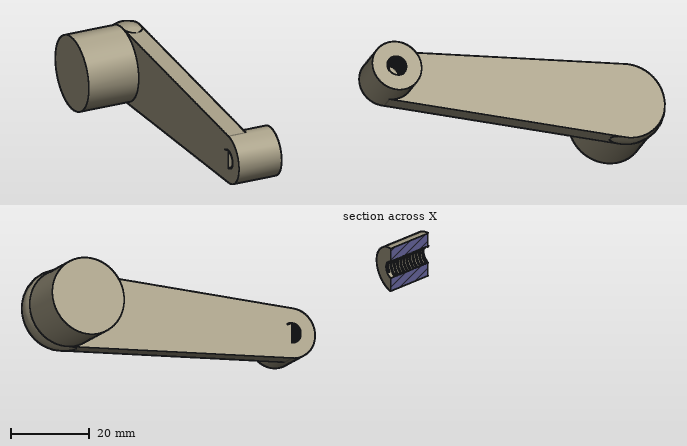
import cadquery as cq

total_length = 79.95
knob_diameter = 20.0
knob_length = 14.0
rim_diameter = 21.0
arm_thickness = 4.95
post_diameter = 13.0
post_length = 7.0
bore_diameter = 5.0
thread_pitch = 1.0
thread_depth = 0.15
thread_base_width = 0.55
thread_root_overlap = 0.1
thread_start_angle = -120

knob_radius = knob_diameter / 2
rim_radius = rim_diameter / 2
post_radius = post_diameter / 2
post_x = total_length - rim_radius - post_radius


def cylinder(x, radius, y_start, length):
    """Cylinder along +Y, centred at (x, Z = 0)."""
    return cq.Workplane("XZ", origin=(x, y_start, 0)).circle(radius).extrude(-length)


def make_arm():
    """Flat arm tapering from the knob width to the post width."""
    outline = [(0, -knob_radius), (post_x, -post_radius), (post_x, post_radius), (0, knob_radius)]
    return cq.Workplane("XZ").polyline(outline).close().extrude(-arm_thickness)


def make_rim():
    """Disc with a bulging edge, as thick as the arm."""
    return (
        cq.Workplane("XY")
        .lineTo(knob_radius, 0)
        .threePointArc((rim_radius, arm_thickness / 2), (knob_radius, arm_thickness))
        .lineTo(0, arm_thickness)
        .close()
        .revolve(360, (0, 0, 0), (0, 1, 0))
    )


def make_post():
    """Post running through the arm, with a bore along its whole length."""
    length = arm_thickness + post_length
    body = cylinder(post_x, post_radius, 0, length)
    return body.cut(cylinder(post_x, bore_diameter / 2, 0, length))


def make_thread():
    """Right-handed triangular ridge along the bore; its start stands just proud of the front face."""
    bore_radius = bore_diameter / 2
    half_base = thread_base_width / 2
    length = arm_thickness + post_length - thread_base_width
    helix = cq.Wire.makeHelix(thread_pitch, length, bore_radius)
    root_radius = bore_radius + thread_root_overlap
    crest_radius = bore_radius - thread_depth
    ridge = (
        cq.Workplane("XZ")
        .polyline([(root_radius, -half_base), (crest_radius, 0), (root_radius, half_base)])
        .close()
        .sweep(cq.Workplane(obj=helix), isFrenet=True)
    )
    ridge = ridge.rotate((0, 0, 0), (0, 0, 1), thread_start_angle)
    return ridge.rotate((0, 0, 0), (1, 0, 0), -90).translate((post_x, 0, 0))


knob = cylinder(0, knob_radius, -knob_length, knob_length)
result = make_post().union(make_thread()).union(make_arm()).union(make_rim()).union(knob)